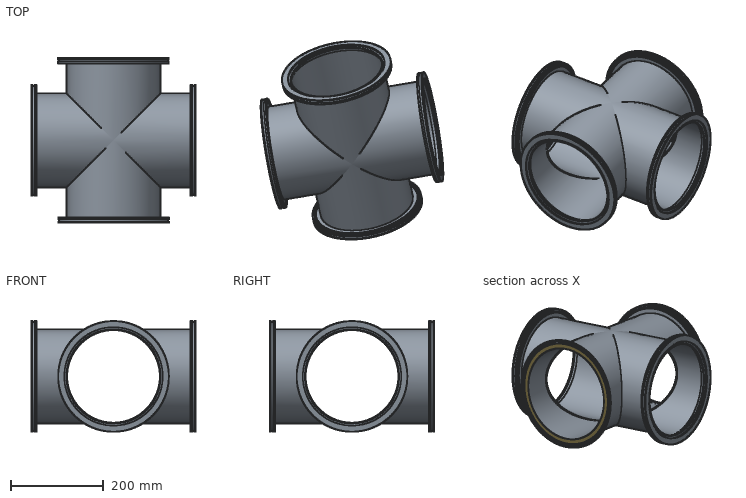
import cadquery as cq

span = 356.0
face_distance = span / 2

tube_outer_dia = 204.0
tube_wall = 2.0
tube_inner_dia = tube_outer_dia - 2 * tube_wall

flange_dia = 240.0
flange_thickness = 12.0
flange_angles = (0, 90, 180, 270)
recess_dia = 213.0
recess_depth = 3.2
tube_end_setback = 5.5
rim_groove_radius = 2.5
rim_groove_setback = 5.0
back_chamfer = 0.7
clamp_groove_dia = 223.5
clamp_groove_width = 3.5
clamp_groove_depth = 1.0

tube_end_distance = face_distance - tube_end_setback


def crossing_cylinders(diameter):
    """Two equal cylinders along X and Y, reaching from tube end to tube end."""
    along_x, along_y = (
        cq.Workplane(plane).circle(diameter / 2).extrude(tube_end_distance, both=True)
        for plane in ("YZ", "XZ")
    )
    return along_x.union(along_y)


def make_tube_cross():
    """Thin-walled four-way tube with mitred joints."""
    return crossing_cylinders(tube_outer_dia).cut(crossing_cylinders(tube_inner_dia))


def make_flange():
    """Flange of the +X tube, revolved about the X axis from its half section."""
    rim = flange_dia / 2
    bore = tube_inner_dia / 2
    socket = tube_outer_dia / 2
    recess = recess_dia / 2
    recess_floor = face_distance - recess_depth
    back = face_distance - flange_thickness
    groove_centre = face_distance - rim_groove_setback
    clamp_inner = clamp_groove_dia / 2
    clamp_outer = clamp_inner + clamp_groove_width
    clamp_floor = back + clamp_groove_depth
    section = (
        cq.Workplane("XY")
        .moveTo(face_distance, recess)
        .lineTo(face_distance, rim)
        .lineTo(groove_centre + rim_groove_radius, rim)
        .threePointArc((groove_centre, rim - rim_groove_radius), (groove_centre - rim_groove_radius, rim))
        .lineTo(back + back_chamfer, rim)
        .lineTo(back, rim - back_chamfer)
        .lineTo(back, clamp_outer)
        .lineTo(clamp_floor, clamp_outer)
        .lineTo(clamp_floor, clamp_inner)
        .lineTo(back, clamp_inner)
        .lineTo(back, socket)
        .lineTo(tube_end_distance, socket)
        .lineTo(tube_end_distance, bore)
        .lineTo(recess_floor, bore)
        .lineTo(recess_floor, recess)
        .close()
    )
    return section.revolve(360, (0, 0), (1, 0))


tube_cross = make_tube_cross()
flange = make_flange()
flanges = [flange.rotate((0, 0, 0), (0, 0, 1), angle) for angle in flange_angles]

result = cq.Compound.makeCompound([tube_cross.val(), *[copy.val() for copy in flanges]])